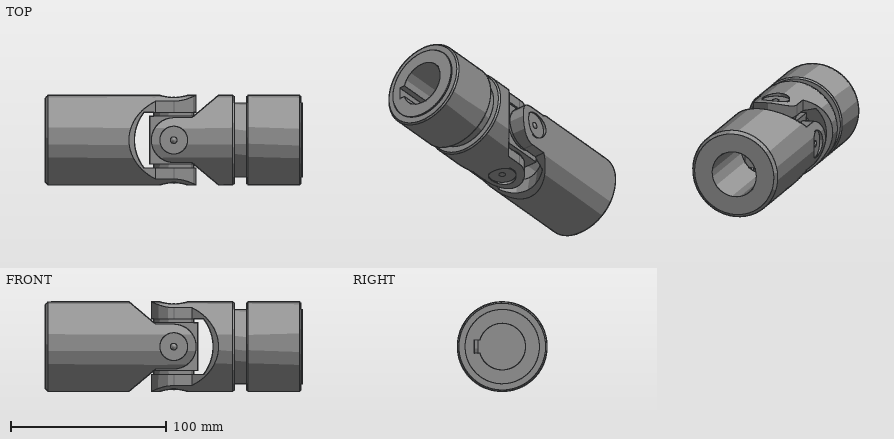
import cadquery as cq

length = 166.0
body_diameter = 58.0
bore_diameter = 30.0
keyway_width = 8.3
keyway_depth = 18.3
end_x = length / 2
body_radius = body_diameter / 2

ear_radius = 14.5
shoulder_inner_x = 11.6
shoulder_outer_x = 28.9
slot_half_width = 18.0
slot_mid_radius = 29.9
slot_side_radius = 24.7

cube_size = 31.0
disc_diameter = 26.0
trunnion_diameter = 18.0
trunnion_end = 26.9
nib_diameter = 4.3
nib_height = 1.0

left_chamfer = 2.0
hub_chamfer = 1.0
hub_diameter = 48.0
groove_start_x = 39.0
groove_end_x = 47.0
collar_end_x = 82.0

overshoot = 1.7


def x_cylinder(start_x, end, diameter):
    """Cylinder along X between two stations."""
    return cq.Workplane("YZ").workplane(offset=start_x).circle(diameter / 2).extrude(end - start_x)


def cut_fork(blank):
    """Cut ears, slot, bore and trunnion holes; the ears stand along Z and the shaft points to +X."""
    ear_outline = (
        cq.Workplane("XY")
        .moveTo(0, ear_radius)
        .lineTo(shoulder_inner_x, ear_radius)
        .lineTo(shoulder_outer_x, body_radius)
        .lineTo(shoulder_outer_x, body_radius + overshoot)
        .lineTo(end_x + overshoot, body_radius + overshoot)
        .lineTo(end_x + overshoot, -body_radius - overshoot)
        .lineTo(shoulder_outer_x, -body_radius - overshoot)
        .lineTo(shoulder_outer_x, -body_radius)
        .lineTo(shoulder_inner_x, -ear_radius)
        .lineTo(0, -ear_radius)
        .threePointArc((-ear_radius, 0), (0, ear_radius))
        .close()
        .extrude(body_diameter, both=True)
    )
    slot = (
        cq.Workplane("XY")
        .polyline([
            (0, body_radius),
            (slot_side_radius, body_radius),
            (slot_mid_radius, 0),
            (slot_side_radius, -body_radius),
            (0, -body_radius),
        ])
        .close()
        .revolve(360, (0, 0), (0, 1))
        .intersect(cq.Workplane("XY").box(body_diameter * 2, body_diameter * 2, 2 * slot_half_width))
    )
    bore = x_cylinder(0, end_x + overshoot, bore_diameter)
    trunnion_holes = cq.Workplane("XY").circle(trunnion_diameter / 2).extrude(body_diameter, both=True)
    return blank.intersect(ear_outline).cut(slot).cut(bore).cut(trunnion_holes)


def make_plain_yoke():
    """Yoke on the -X side, with its ears along Y."""
    blank = x_cylinder(-ear_radius, end_x, body_diameter).faces(">X").chamfer(left_chamfer)
    return (
        cut_fork(blank)
        .rotate((0, 0, 0), (0, 0, 1), 180)
        .rotate((0, 0, 0), (1, 0, 0), 90)
    )


def make_keyway():
    """Keyway on the -Y side of the bore, running its full length."""
    return cq.Workplane("XY").box(
        end_x + overshoot, keyway_depth, keyway_width, centered=(False, False, True)
    ).translate((0, -keyway_depth, 0))


def make_grooved_yoke():
    """Yoke on the +X side, with its ears along Z and a grooved hub."""
    front = x_cylinder(-ear_radius, groove_start_x, body_diameter).faces(">X").chamfer(hub_chamfer)
    collar = x_cylinder(groove_end_x, collar_end_x, body_diameter).faces("<X or >X").chamfer(hub_chamfer)
    core = x_cylinder(0, end_x, hub_diameter)
    return cut_fork(front.union(core).union(collar)).cut(make_keyway())


def make_spider():
    """Cross-shaped spider linking the two yokes."""
    spider = cq.Workplane("XY").box(cube_size, cube_size, cube_size)
    for plane in ("XY", "XZ"):
        discs = cq.Workplane(plane).circle(disc_diameter / 2).extrude(slot_half_width, both=True)
        trunnions = cq.Workplane(plane).circle(trunnion_diameter / 2).extrude(trunnion_end, both=True)
        spider = spider.union(discs).union(trunnions)
    nib = (
        cq.Workplane("XZ")
        .moveTo(0, trunnion_end)
        .lineTo(nib_diameter / 2, trunnion_end)
        .lineTo(0, trunnion_end + nib_height)
        .close()
        .revolve(360, (0, 0), (0, 1))
    )
    for angle in (0, 90, 180, 270):
        spider = spider.union(nib.rotate((0, 0, 0), (1, 0, 0), angle))
    return spider


plain_yoke = make_plain_yoke()
grooved_yoke = make_grooved_yoke()
spider = make_spider()

result = cq.Compound.makeCompound([plain_yoke.val(), grooved_yoke.val(), spider.val()])